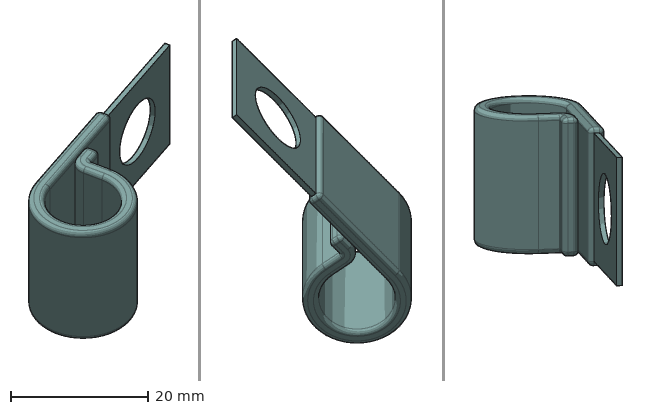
import cadquery as cq

total_length = 44.4
loop_diameter = 15.85
cushion_width = 20.55

wall = 2.35
edge_radius = 0.75
cushion_length = 26.15
hook_top = 18.4
hook_gap = 0.05
inner_bend_radius = 0.05

strap_thickness = wall - 2 * edge_radius
strap_width = cushion_width - 2 * edge_radius
hole_diameter = 10.35
hole_end_distance = 9.5

loop_radius = loop_diameter / 2
mid_radius = loop_radius - wall / 2
leg_end_y = cushion_length - loop_radius
hook_end_y = hook_top - loop_radius
strap_end_y = total_length - loop_radius
hook_left_x = -loop_radius + wall + hook_gap
hook_mid_x = hook_left_x + wall / 2
hook_bend_radius = inner_bend_radius + wall / 2
bend_x = hook_mid_x + hook_bend_radius
bend_y = loop_radius + inner_bend_radius
loop_sweep_angle = 270
hook_bend_angle = 90


def band_section(center_x, start_y):
    """Rounded band cross-section in the XZ plane at start_y."""
    return (
        cq.Workplane("XZ", origin=(center_x, start_y, 0))
        .sketch()
        .rect(wall, cushion_width)
        .vertices()
        .fillet(edge_radius)
        .finalize()
    )


def capped_leg(center_x, start_y, end_y):
    """Straight band along +Y with every edge rounded except at its start."""
    return (
        cq.Workplane("XY")
        .box(wall, end_y - start_y, cushion_width)
        .edges("|Y or >Y")
        .fillet(edge_radius)
        .translate((center_x, (start_y + end_y) / 2, 0))
    )


def loop():
    """Three quarters of a ring, from the leg round to the top of the loop."""
    return band_section(-mid_radius, 0).revolve(
        loop_sweep_angle, (mid_radius, 0, 0), (mid_radius, 1, 0)
    )


def bridge():
    """Straight band along X from the top of the loop to the hook bend."""
    return (
        cq.Workplane("XY")
        .box(-bend_x, wall, cushion_width)
        .edges("|X")
        .fillet(edge_radius)
        .translate((bend_x / 2, mid_radius, 0))
    )


def hook_bend():
    """Quarter turn from the bridge up into the hook tip."""
    return band_section(hook_mid_x, bend_y).revolve(
        hook_bend_angle, (hook_bend_radius, 0, 0), (hook_bend_radius, 1, 0)
    )


def strap():
    """Flat mounting tab with its hole, running out of the straight leg."""
    tab = (
        cq.Workplane("XY")
        .box(strap_thickness, strap_end_y, strap_width)
        .translate((-mid_radius, strap_end_y / 2, 0))
    )
    hole = (
        cq.Workplane("YZ", origin=(-loop_radius, strap_end_y - hole_end_distance, 0))
        .circle(hole_diameter / 2)
        .extrude(wall)
    )
    return tab.cut(hole)


result = (
    loop()
    .union(capped_leg(-mid_radius, 0, leg_end_y))
    .union(bridge())
    .union(hook_bend())
    .union(capped_leg(hook_mid_x, bend_y, hook_end_y))
    .union(strap())
)